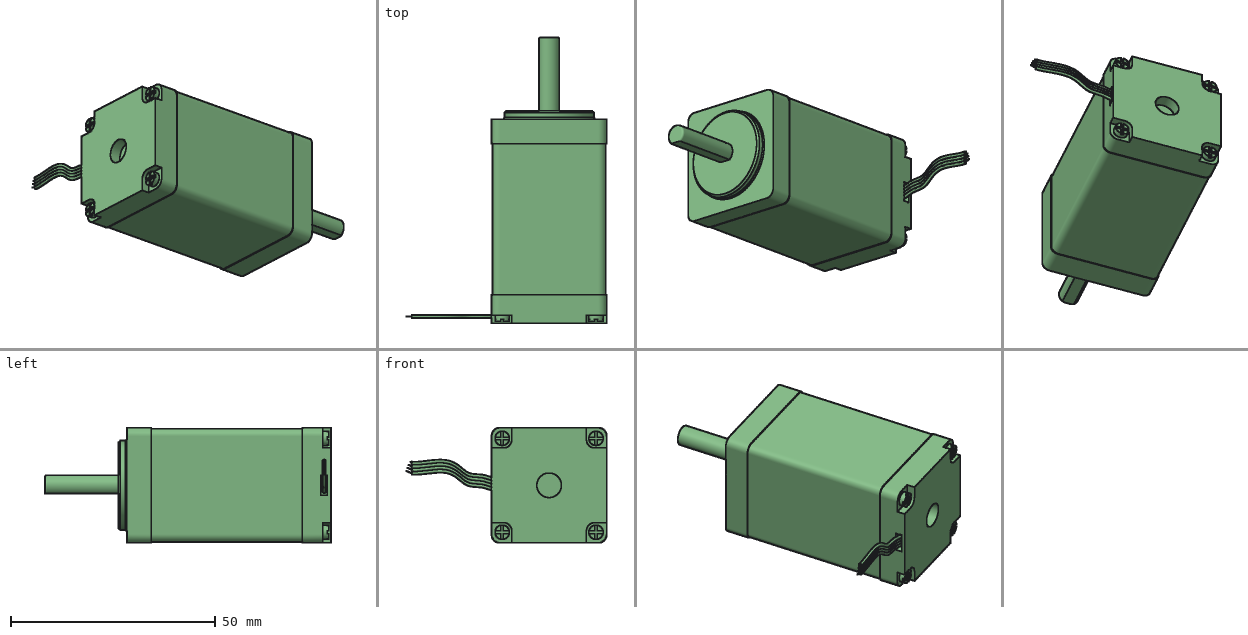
import cadquery as cq

total_length = 70.0

cap_width = 28.2
cap_corner_radius = 2.0
stack_inset = 0.2
body_length = 50.0
front_cap_length = 6.0
rear_cap_length = 7.0

boss_diameter = 22.0
boss_height = 2.0
boss_chamfer = 0.5
boss_foot_flare = 0.2
boss_foot_height = 0.4
shaft_diameter = 5.05
shaft_fillet = 0.5
shaft_flat_depth = 0.5

rear_hole_diameter = 6.0
rear_hole_depth = 3.0

pocket_width = 5.0
pocket_depth = 2.0
pocket_corner_radius = 2.0
screw_spacing = 22.95
screw_head_diameter = 3.5
screw_head_height = 1.5
screw_slot_width = 0.6
screw_slot_depth = 0.4

outlet_width = 4.9
outlet_height = 1.6
outlet_depth = 2.8
cable_y = 1.7
wire_diameter = 0.85
wire_pitch = 0.805
strand_diameter = 0.15

outlet_floor_x = outlet_depth - cap_width / 2
cable_path = [
    (outlet_floor_x, -0.3),
    (-14.1, 0.35),
    (-16.2, 1.0),
    (-19.75, 1.5),
    (-22.7, 3.6),
    (-24.4, 4.4),
    (-26.75, 4.7),
    (-33.6, 4.2),
]
strand_bends = [(-1.3, 0.5), (-1.05, 0.5), (-0.8, 0.4), (-0.3, 0.35)]
strand_embed = 0.2

corner_signs = [(sx, sz) for sx in (-1, 1) for sz in (-1, 1)]


def block(x_size, y_start, y_length, z_size, x=0, z=0):
    """Box centred on (x, z) that starts at y_start and runs toward +Y."""
    box = cq.Workplane("XY").box(x_size, y_length, z_size)
    return box.translate((x, y_start + y_length / 2, z))


def cylinder(diameter, y_start, y_length, x=0, z=0):
    """Cylinder along +Y with its axis through (x, z)."""
    solid = cq.Solid.makeCylinder(diameter / 2, y_length, cq.Vector(x, y_start, z), cq.Vector(0, 1, 0))
    return cq.Workplane(obj=solid)


def housing():
    stack_width = cap_width - 2 * stack_inset
    stack_radius = cap_corner_radius - stack_inset
    stack_length = body_length - front_cap_length - rear_cap_length
    rear_cap = block(cap_width, 0, rear_cap_length, cap_width).edges("|Y").fillet(cap_corner_radius)
    stack = block(stack_width, rear_cap_length, stack_length, stack_width).edges("|Y").fillet(stack_radius)
    front_cap = block(cap_width, body_length - front_cap_length, front_cap_length, cap_width)
    front_cap = front_cap.edges("|Y").fillet(cap_corner_radius)
    return rear_cap.union(stack).union(front_cap)


def pilot_boss():
    radius = boss_diameter / 2
    top = body_length + boss_height
    profile = (
        cq.Workplane("XY")
        .moveTo(0, body_length)
        .lineTo(radius + boss_foot_flare, body_length)
        .lineTo(radius, body_length + boss_foot_height)
        .lineTo(radius, top - boss_chamfer)
        .lineTo(radius - boss_chamfer, top)
        .lineTo(0, top)
        .close()
    )
    return profile.revolve(360, (0, 0, 0), (0, 1, 0))


def shaft():
    """Round shaft with a rounded tip and a D-flat on its underside, starting at the boss."""
    rod = cylinder(shaft_diameter, body_length, total_length - body_length)
    rod = rod.faces(">Y").edges().fillet(shaft_fillet)
    flat_start = body_length + boss_height
    flat_z = shaft_flat_depth / 2 - shaft_diameter / 2
    return rod.cut(block(shaft_diameter, flat_start, total_length - flat_start, shaft_flat_depth, z=flat_z))


def corner_pocket(sx, sz):
    """Square corner recess, open to both sides, with a rounded inner corner."""
    tool_width = 2 * pocket_width
    tool_centre = cap_width / 2 - pocket_width + tool_width / 2
    tool = block(tool_width, 0, pocket_depth, tool_width, sx * tool_centre, sz * tool_centre)
    return tool.edges("|Y").fillet(pocket_corner_radius)


def screw_head(sx, sz):
    x = sx * screw_spacing / 2
    z = sz * screw_spacing / 2
    top_y = pocket_depth - screw_head_height
    head = cylinder(screw_head_diameter, top_y, screw_head_height, x, z)
    for x_size, z_size in (
        (screw_head_diameter, screw_slot_width),
        (screw_slot_width, screw_head_diameter),
    ):
        head = head.cut(block(x_size, top_y, screw_slot_depth, z_size, x, z))
    return head


def cable_outlet():
    centre_x = (outlet_depth - cap_width) / 2
    return block(outlet_depth, cable_y - outlet_height / 2, outlet_height, outlet_width, centre_x)


def wire(z_offset):
    points = [cq.Vector(x, cable_y, z + z_offset) for x, z in cable_path]
    path = cq.Edge.makeSpline(points)
    start_plane = cq.Plane(origin=points[0], normal=path.tangentAt(0))
    return cq.Workplane(start_plane).circle(wire_diameter / 2).sweep(cq.Workplane(obj=path))


def strand(z_offset, bend):
    """Thin bare strand, rooted slightly inside the end of its wire."""
    end_x, end_z = cable_path[-1]
    direction = cq.Vector(bend[0], 0, bend[1])
    root = cq.Vector(end_x, cable_y, end_z + z_offset) - direction.normalized() * strand_embed
    length = direction.Length + strand_embed
    return cq.Workplane(obj=cq.Solid.makeCylinder(strand_diameter / 2, length, root, direction))


result = housing().union(pilot_boss()).union(shaft())
result = result.cut(cylinder(rear_hole_diameter, 0, rear_hole_depth))

for sx, sz in corner_signs:
    result = result.cut(corner_pocket(sx, sz)).union(screw_head(sx, sz))

result = result.cut(cable_outlet())
for index, bend in enumerate(strand_bends):
    z_offset = (index - (len(strand_bends) - 1) / 2) * wire_pitch
    result = result.union(wire(z_offset)).union(strand(z_offset, bend))